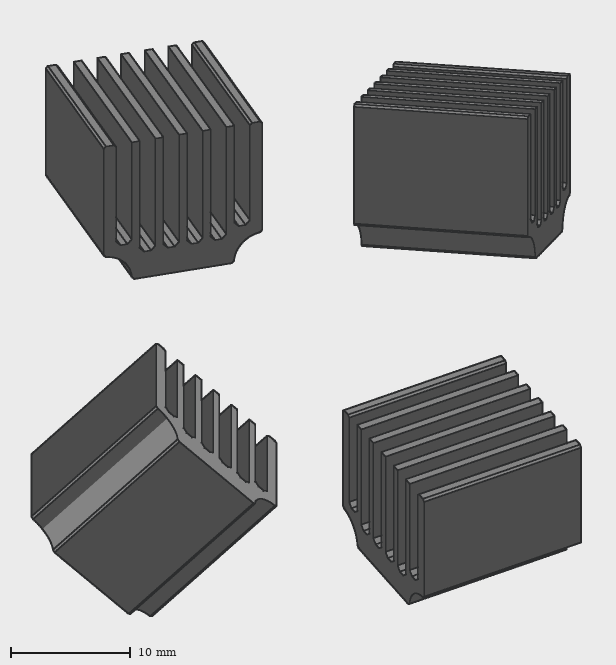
import cadquery as cq
import math

length = 15.0
width = 14.0
height = 13.0

slot_count = 6
slot_width = 1.38
fin_thickness = 0.7
slot_pitch = slot_width + fin_thickness
inner_slot_depth = 10.55
outer_slot_depth = 9.58
slot_floor_chamfer = 0.39

edge_chamfer = 0.2
cove_radius = 2.5

half_width = width / 2
slot_array_half_width = (slot_count * slot_width + (slot_count - 1) * fin_thickness) / 2


def extrude_profile(profile):
    """Extrude a YZ profile along X, centred on the origin."""
    return profile.extrude(length / 2, both=True)


def make_body():
    """Block with chamfered top edges and a concave cove along each lower edge."""
    cove_end = math.sqrt(cove_radius**2 - edge_chamfer**2)
    cove_middle = cove_radius / math.sqrt(2)
    cove_outer = cove_end + edge_chamfer
    profile = (
        cq.Workplane("YZ")
        .moveTo(-half_width + cove_outer, 0)
        .lineTo(half_width - cove_outer, 0)
        .lineTo(half_width - cove_end, edge_chamfer)
        .threePointArc(
            (half_width - cove_middle, cove_middle),
            (half_width - edge_chamfer, cove_end),
        )
        .lineTo(half_width, cove_outer)
        .lineTo(half_width, height - edge_chamfer)
        .lineTo(half_width - edge_chamfer, height)
        .lineTo(-half_width + edge_chamfer, height)
        .lineTo(-half_width, height - edge_chamfer)
        .lineTo(-half_width, cove_outer)
        .lineTo(-half_width + edge_chamfer, cove_end)
        .threePointArc(
            (-half_width + cove_middle, cove_middle),
            (-half_width + cove_end, edge_chamfer),
        )
        .close()
    )
    return extrude_profile(profile)


def make_slot(center_y, depth):
    """Cutter for one slot, with chamfered floor corners."""
    half_slot = slot_width / 2
    floor_z = height - depth
    profile = cq.Workplane("YZ").polyline([
        (center_y - half_slot, height),
        (center_y - half_slot, floor_z + slot_floor_chamfer),
        (center_y - half_slot + slot_floor_chamfer, floor_z),
        (center_y + half_slot - slot_floor_chamfer, floor_z),
        (center_y + half_slot, floor_z + slot_floor_chamfer),
        (center_y + half_slot, height),
    ]).close()
    return extrude_profile(profile)


def make_outer_fin_chamfer(side):
    """Cutter for the inner top edge of the outermost fin; side is -1 or 1."""
    face_y = side * slot_array_half_width
    profile = cq.Workplane("YZ").polyline([
        (face_y, height),
        (face_y + side * edge_chamfer, height),
        (face_y, height - edge_chamfer),
    ]).close()
    return extrude_profile(profile)


result = make_body()

for index in range(slot_count):
    slot_center = (index - (slot_count - 1) / 2) * slot_pitch
    is_outermost = index in (0, slot_count - 1)
    slot_depth = outer_slot_depth if is_outermost else inner_slot_depth
    result = result.cut(make_slot(slot_center, slot_depth))

for fin_side in (-1, 1):
    result = result.cut(make_outer_fin_chamfer(fin_side))